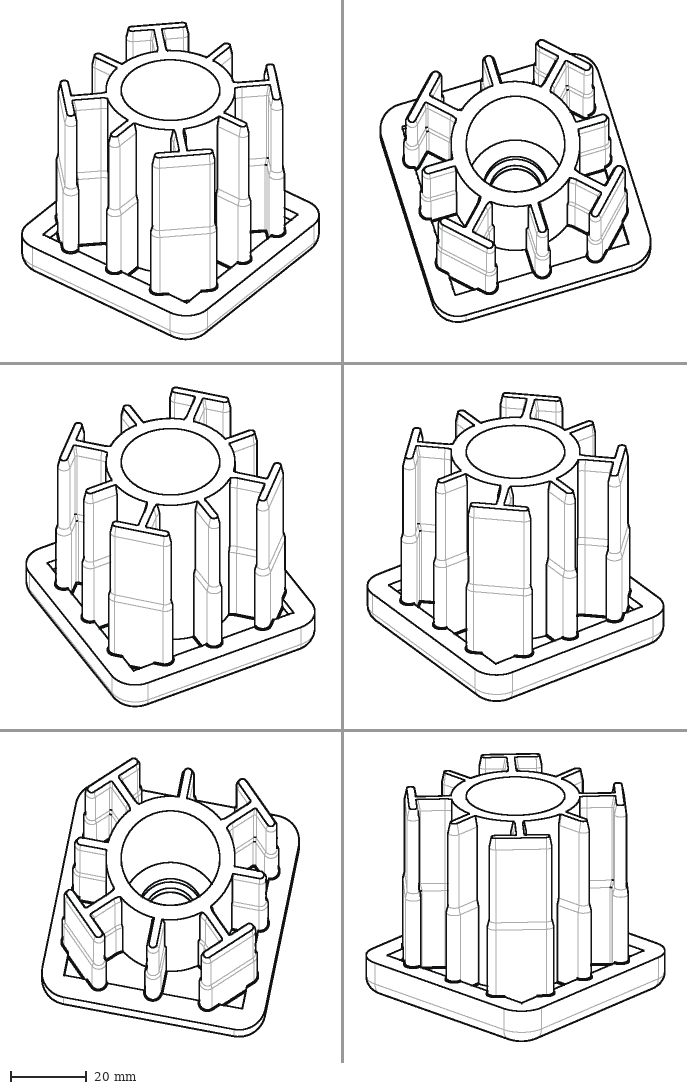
import cadquery as cq
import math

PLATE_SIDE = 60.0
PLATE_HEIGHT = 10.0
PLATE_CORNER_RADIUS = 7.0
PLATE_EDGE_ROUND = 4.0
RECESS_SIDE = 48.0
RECESS_DEPTH = 3.0

TUBE_RADIUS = 17.05
BORE_RADIUS = 13.0
COUNTERBORE_RADIUS = 8.5
COUNTERBORE_DEPTH = 3.0
HOLE_RADIUS = 6.85

TOTAL_HEIGHT = 55.0
LOWER_RIB_HEIGHT = 19.2
STEP_HEIGHT = 1.9
LEAD_IN_HEIGHT = 3.0

LOWER_HALF = 2.1
UPPER_HALF = 1.6
TOP_HALF = 1.0

TIP_CENTER = 24.1

HEAD_DISTANCE = 27.4
HEAD_CORNER_ROUND = 0.5
STEM_WIDENING_START = 18.8
STEM_WIDENING_RADIUS = 4.8

ROOT_ROUND = 0.25
ROOT_SINK = 0.03

FOOT_FLARE = 0.3

RIBS_PER_KIND = 4

COINCIDENT = 6e-07

RECESS_FLOOR = PLATE_HEIGHT - RECESS_DEPTH
STEP_START = PLATE_HEIGHT + LOWER_RIB_HEIGHT
STEP_END = STEP_START + STEP_HEIGHT
LEAD_IN_START = TOTAL_HEIGHT - LEAD_IN_HEIGHT
ROOT_CENTER_RADIUS = TUBE_RADIUS - ROOT_SINK + ROOT_ROUND
RIB_START = (TUBE_RADIUS + BORE_RADIUS) / 2


def arc_points(center, radius, start, end):
    """Start, middle and end of an arc between two angles in degrees."""
    angles = [math.radians(a) for a in (start, (start + end) / 2, end)]
    return [(center[0] + radius * math.cos(a), center[1] + radius * math.sin(a)) for a in angles]


def direction(start, end):
    """Angle in degrees, from 0 to 360, of the line between two points."""
    return math.degrees(math.atan2(end[1] - start[1], end[0] - start[0])) % 360


def straight_side(half):
    """Arcs along the +Y side of a straight rib: only the round at the tube."""
    y = half + ROOT_ROUND
    center = (math.sqrt(ROOT_CENTER_RADIUS**2 - y**2), y)
    return [arc_points(center, ROOT_ROUND, direction(center, (0, 0)), 270)]


def straight_tip(half):
    """Arcs around the outer end of a straight rib."""
    return [arc_points((TIP_CENTER, 0), half, -90, 90)]


def tee_side(half):
    """Arcs along the +Y side of a corner rib: round at the tube, stem widening, head corner."""
    wide = (STEM_WIDENING_START, half + STEM_WIDENING_RADIUS)
    wide_distance = math.hypot(*wide)
    from_axis = ROOT_CENTER_RADIUS
    from_wide = STEM_WIDENING_RADIUS - ROOT_ROUND
    along = (from_axis**2 - from_wide**2 + wide_distance**2) / (2 * wide_distance)
    across = math.sqrt(from_axis**2 - along**2)
    angle = math.atan2(wide[1], wide[0]) - math.atan2(across, along)
    root = (from_axis * math.cos(angle), from_axis * math.sin(angle))
    blend = direction(wide, root)
    corner = (HEAD_DISTANCE - half - HEAD_CORNER_ROUND, half + HEAD_CORNER_ROUND)
    return [
        arc_points(root, ROOT_ROUND, direction(root, (0, 0)), blend),
        arc_points(wide, STEM_WIDENING_RADIUS, blend, 270),
        arc_points(corner, HEAD_CORNER_ROUND, -90, 0),
    ]


def tee_tip(half):
    """Arcs around the two ends of the head of a corner rib."""
    tip_y = TIP_CENTER * math.sqrt(2) - HEAD_DISTANCE
    return [
        arc_points((HEAD_DISTANCE, -tip_y), half, -180, 0),
        arc_points((HEAD_DISTANCE, tip_y), half, 0, 180),
    ]


def rib_section(side, tip, z, half):
    """Closed outline at height z of a rib along +X that starts inside the tube wall."""
    upper_side = side(half)
    lower_side = [[(x, -y) for x, y in arc] for arc in upper_side]
    returning_side = [arc[::-1] for arc in reversed(upper_side)]
    root_y = upper_side[0][0][1]
    outline = cq.Workplane("XY", origin=(0, 0, z)).moveTo(RIB_START, -root_y)
    position = (RIB_START, -root_y)
    for start, middle, end in lower_side + tip(half) + returning_side:
        if math.dist(position, start) > COINCIDENT:
            outline = outline.lineTo(*start)
        outline = outline.threePointArc(middle, end)
        position = end
    return outline.lineTo(RIB_START, root_y).close().wires().val()


def rib_between(side, tip, start, end):
    """Ruled solid between two rib sections, each given as (z, half thickness)."""
    sections = [rib_section(side, tip, *start), rib_section(side, tip, *end)]
    return cq.Workplane(cq.Solid.makeLoft(sections, True))


def square_block(side, bottom, top):
    return cq.Workplane("XY", origin=(0, 0, bottom)).rect(side, side).extrude(top - bottom)


def cylinder(radius, bottom, top):
    return cq.Workplane("XY", origin=(0, 0, bottom)).circle(radius).extrude(top - bottom)


def rib_pieces(side, tip, angle):
    """Stepped rib at the given angle with a tapered top, and its feet on the recess floor and rim."""
    levels = [
        (RECESS_FLOOR, LOWER_HALF),
        (STEP_START, LOWER_HALF),
        (STEP_END, UPPER_HALF),
        (LEAD_IN_START, UPPER_HALF),
        (TOTAL_HEIGHT, TOP_HALF),
    ]
    body = rib_between(side, tip, levels[0], levels[1])
    for start, end in zip(levels[1:], levels[2:]):
        body = body.union(rib_between(side, tip, start, end))

    recess_column = square_block(RECESS_SIDE, RECESS_FLOOR, TOTAL_HEIGHT).rotate((0, 0, 0), (0, 0, 1), -angle)
    floor_foot, rim_foot = [
        rib_between(side, tip, (z, LOWER_HALF + FOOT_FLARE), (z + FOOT_FLARE, LOWER_HALF))
        for z in (RECESS_FLOOR, PLATE_HEIGHT)
    ]
    pieces = [body, floor_foot.intersect(recess_column), rim_foot.cut(recess_column)]
    return [piece.rotate((0, 0, 0), (0, 0, 1), angle) for piece in pieces]


def plate():
    body = square_block(PLATE_SIDE, 0, PLATE_HEIGHT)
    body = body.edges("|Z").fillet(PLATE_CORNER_RADIUS)
    body = body.faces("<Z").edges().fillet(PLATE_EDGE_ROUND)
    return body.cut(square_block(RECESS_SIDE, RECESS_FLOOR, PLATE_HEIGHT))


part = plate().union(cylinder(TUBE_RADIUS, RECESS_FLOOR, TOTAL_HEIGHT))

rib_spacing = 360 / RIBS_PER_KIND
for index in range(RIBS_PER_KIND):
    straight_rib = rib_pieces(straight_side, straight_tip, index * rib_spacing)
    corner_rib = rib_pieces(tee_side, tee_tip, (index + 0.5) * rib_spacing)
    for piece in straight_rib + corner_rib:
        part = part.union(piece)

part = part.cut(cylinder(BORE_RADIUS, RECESS_FLOOR, TOTAL_HEIGHT))
part = part.cut(cylinder(COUNTERBORE_RADIUS, RECESS_FLOOR - COUNTERBORE_DEPTH, RECESS_FLOOR))
result = part.cut(cylinder(HOLE_RADIUS, 0, RECESS_FLOOR))